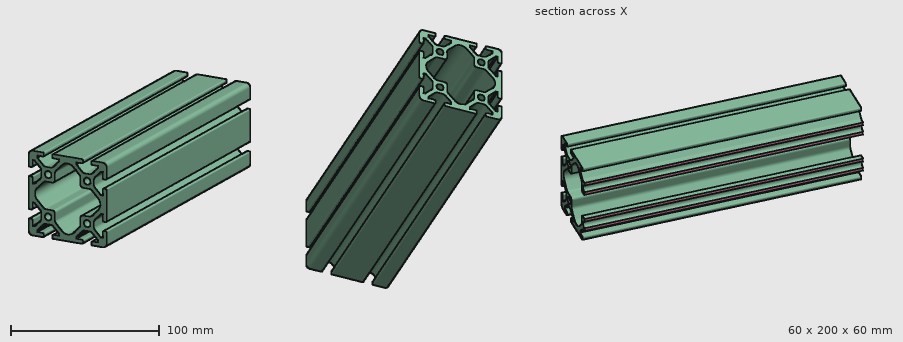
import cadquery as cq

length = 200.0
side = 60.0
corner_radius = 3.0
half = side / 2

slot_offset = 15.0
bore_diameter = 5.0

mouth_width = 6.5
lip_thickness = 3.0
lip_radius = 1.0
slot_width = 16.5
wall_depth = 4.5
slot_depth = 9.8
floor_radius = 3.0

cavity_half_diagonal = 27.5
arm_half_width = 9.8
tip_radius = 6.0
shoulder_radius = 3.0
boss_radius = 2.0


def prism(points):
    """Extrude a closed outline in the XZ plane over the full length along +Y."""
    return cq.Workplane("XZ").polyline(points).close().extrude(-length)


def slot_cutter(centre):
    """T-slot for cutting into the +Z face, with its middle at X = centre."""
    mouth = mouth_width / 2
    wall = slot_width / 2
    floor = wall - (slot_depth - wall_depth)
    right_side = [
        (wall, lip_thickness),
        (wall, wall_depth),
        (floor, slot_depth),
    ]
    left_side = [(-x, depth) for x, depth in reversed(right_side)]
    chamber = prism([(centre + x, half - depth) for x, depth in right_side + left_side])
    chamber = chamber.edges("|Y").edges("<Z").fillet(floor_radius)

    flare = mouth + lip_radius
    mouth_cutter = (
        cq.Workplane("XZ")
        .moveTo(centre - flare, half)
        .lineTo(centre + flare, half)
        .radiusArc((centre + mouth, half - lip_radius), -lip_radius)
        .lineTo(centre + mouth, half - lip_thickness + lip_radius)
        .radiusArc((centre + flare, half - lip_thickness), -lip_radius)
        .lineTo(centre - flare, half - lip_thickness)
        .radiusArc((centre - mouth, half - lip_thickness + lip_radius), -lip_radius)
        .lineTo(centre - mouth, half - lip_radius)
        .radiusArc((centre - flare, half), -lip_radius)
        .close()
        .extrude(-length)
    )
    return chamber.union(mouth_cutter)


def cavity_cutter():
    """Four-armed cavity with rounded tips, shoulders and boss corners."""
    shoulder = cavity_half_diagonal - arm_half_width
    corners = [
        (cavity_half_diagonal, 0, tip_radius),
        (shoulder, arm_half_width, shoulder_radius),
        (arm_half_width, arm_half_width, boss_radius),
        (arm_half_width, shoulder, shoulder_radius),
    ]
    rounded_corners = []
    for _ in range(4):
        rounded_corners += corners
        corners = [(-z, x, radius) for x, z, radius in corners]
    cutter = prism([(x, z) for x, z, _ in rounded_corners])
    for x, z, radius in rounded_corners:
        corner_edge = cq.selectors.NearestToPointSelector((x, length / 2, z))
        cutter = cutter.edges("|Y").edges(corner_edge).fillet(radius)
    return cutter


body = cq.Workplane("XZ").rect(side, side).extrude(-length)
body = body.edges("|Y").fillet(corner_radius)

for quarter_turn in range(4):
    for centre in (-slot_offset, slot_offset):
        slot = slot_cutter(centre).rotate((0, 0, 0), (0, 1, 0), 90 * quarter_turn)
        body = body.cut(slot)

body = body.cut(cavity_cutter())

bores = (
    cq.Workplane("XZ")
    .rect(2 * slot_offset, 2 * slot_offset, forConstruction=True)
    .vertices()
    .circle(bore_diameter / 2)
    .extrude(-length)
)
result = body.cut(bores)